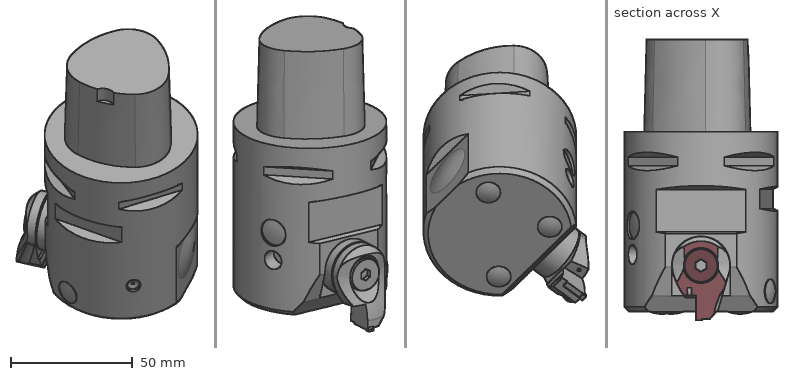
import cadquery as cq
import math


shank_length = 38.0
shank_lobe_reach = 23.4
shank_flank_reach = 20.4
lobe_center_offset = 8.6
shank_taper_angle = math.degrees(math.atan(1 / 40))
key_slot_diameter = 10.0
key_slot_depth = 6.3
key_slot_floor_reach = 17.8

body_diameter = 63.0
body_radius = body_diameter / 2
body_length = 74.0
bottom_chamfer = 2.0
beyond = 20.0

gripper_center_z = -12.2
gripper_floor_height = 3.5
gripper_floor_distance = 28.0
gripper_flare_angle = 30.0

window_top_z = -23.6
window_bottom_z = -31.6
window_floor_distance = 27.3
window_direction = -100.0
notch_flare_angle = 15.0

relief_top_z = -23.8
relief_bottom_z = -41.2
relief_floor_x = -25.5
face_x = -27.9
ramp_points = [(face_x, -55.5), (-24.2, -67.4), (-20.0, -body_length)]

dial_flat_x = 28.6
dial_flat_top_z = -42.5
dial_radius = 10.9
dial_height = 1.55

pivot_z = -55.0
slide_diameter = 24.0
slide_face_x = -32.6
slide_seat_x = -24.2

plug_diameter = 10.0
plug_height = 1.0
bottom_plug_circle_radius = 20.8
bottom_plug_angles = [36.0, 129.5, 230.5]
side_plug_angle = -115.0
side_plug_z = -65.6
side_plug_height = 0.7
clamp_hole_angle = 116.0
clamp_recess_z = -38.5
clamp_recess_diameter = 11.5
clamp_recess_depth = 1.4
clamp_recess_dome_height = 0.6
clamp_hole_z = -50.5
clamp_hole_diameter = 8.0
clamp_hole_depth = 8.0
coolant_angle = -61.3
coolant_z = pivot_z
coolant_mouth_diameter = 6.25
coolant_bore_diameter = 5.01
coolant_bore_depth = 0.9
coolant_cone_depth = 1.5
coolant_jet_diameter = 1.0
coolant_jet_depth = 4.0

head_diameter = 23.84
head_radius = head_diameter / 2
head_back_x = -33.3
head_crest_x = -40.2
blade_crest_x = -44.4
crest_bend_top_z = pivot_z
crest_bend_bottom_z = -73.3
front_curve_radius = 21.5
head_bevel_x = -37.2
blade_left_y = 2.1
blade_bottom_z = -77.0
right_flank_angle = 16.5
left_flank_middle = (8.6, -65.0)
left_flank_end_y = 6.3
blade_chamfer_top_z = -73.2
blade_chamfer_bottom_y = -3.6
shoulder_front_z = -66.3
shoulder_back_z = -68.2
blade_back_points = [(head_back_x, -68.5), (-32.6, -69.3), (-32.6, -74.0), (-32.2, -74.0)]
shoulder_hole_diameter = 1.5
shoulder_hole_depth = 3.0
shoulder_hole_position = (-39.0, 4.7, -67.2)
edge_tip_x = -45.22
edge_tip_z = -78.0
edge_right_y = -0.5
nose_length = 1.8
lip_height = 0.6
lip_back_x = -34.8
lip_embed = 0.8
chip_groove_overrun = 1.3
chip_groove_diameter = 4.7
chip_groove_top = (-35.5, -60.3)
chip_groove_top_clearance = 1.7
chip_groove_bottom = (-40.8, -6.9, -76.5)

screw_diameter = 13.6
screw_hole_diameter = 14.2
screw_face_x = -40.0
screw_hole_throat_x = -38.9
screw_seat_x = -36.0
screw_hex_diameter = 5.0
screw_hex_depth = 2.0
countersink_reach = 8.0


def polar(radius, degrees):
    return (radius * math.cos(math.radians(degrees)), radius * math.sin(math.radians(degrees)))


def radial_plane(degrees, z, distance):
    """Plane with its normal pointing out of the body and its local X along the circumference."""
    x, y = polar(distance, degrees)
    side = (*polar(1, degrees + 90), 0)
    return cq.Plane(origin=(x, y, z), xDir=side, normal=(*polar(1, degrees), 0))


def side_prism(points, half_width):
    """Prism along Y, centered on the XZ plane, from an outline of (x, z) points."""
    return cq.Workplane("XZ").polyline(points).close().extrude(half_width, both=True)


def spherical_cap(plane, rim_radius, height, root=1.0):
    """Domed plug on a short cylindrical root that sinks into the body."""
    sphere_radius = (rim_radius ** 2 + height ** 2) / (2 * height)
    half_angle = math.asin(rim_radius / sphere_radius) / 2
    middle = (sphere_radius * math.sin(half_angle), height - sphere_radius * (1 - math.cos(half_angle)))
    profile = (
        cq.Workplane("XY")
        .moveTo(0, -root)
        .lineTo(rim_radius, -root)
        .lineTo(rim_radius, 0)
        .threePointArc(middle, (0, height))
        .close()
    )
    cap = profile.revolve(360, (0, 0, 0), (0, 1, 0)).rotate((0, 0, 0), (1, 0, 0), 90)
    return cq.Workplane(obj=cap.val().located(cq.Location(plane)))


def flared_notch(direction, top_z, bottom_z, floor_distance, flare_angle):
    """Cutter with a flat floor facing out and end walls that open towards the outside."""
    flare = beyond * math.tan(math.radians(flare_angle))
    outer = floor_distance + beyond
    points = [
        (floor_distance, bottom_z),
        (floor_distance, top_z),
        (outer, top_z + flare),
        (outer, bottom_z - flare),
    ]
    return side_prism(points, body_diameter).rotate((0, 0, 0), (0, 0, 1), direction)


def make_shank():
    bulge = shank_lobe_reach - shank_flank_reach
    tangency = 2 * bulge * lobe_center_offset - bulge ** 2
    flank_center_offset = tangency / (lobe_center_offset - 2 * bulge)
    flank_radius = shank_flank_reach + flank_center_offset
    lobe_x, lobe_y = polar(lobe_center_offset, -30)
    joint_tilt = math.degrees(math.atan2(lobe_x, flank_center_offset - lobe_y))
    joint_x = flank_radius * math.sin(math.radians(joint_tilt))
    joint_y = flank_center_offset - flank_radius * math.cos(math.radians(joint_tilt))
    joint_radius = math.hypot(joint_x, joint_y)
    half_flank = math.degrees(math.atan2(joint_x, -joint_y))

    outline = cq.Workplane("XY").moveTo(-joint_x, joint_y)
    for flank in (-90, 30, 150):
        flank_end = polar(joint_radius, flank + half_flank)
        outline = outline.threePointArc(polar(shank_flank_reach, flank), flank_end)
        lobe_end = polar(joint_radius, flank + 120 - half_flank)
        outline = outline.threePointArc(polar(shank_lobe_reach, flank + 60), lobe_end)
    shank = outline.close().extrude(shank_length, taper=shank_taper_angle)
    key_slot = (
        cq.Workplane("XY", origin=(0, -key_slot_floor_reach - key_slot_diameter / 2, shank_length))
        .circle(key_slot_diameter / 2)
        .extrude(-key_slot_depth)
    )
    return shank.cut(key_slot)


def make_body():
    body = cq.Workplane("XY").circle(body_radius).extrude(-body_length)
    return body.faces("<Z").chamfer(bottom_chamfer)


def cut_gripper_grooves(body):
    half_floor = gripper_floor_height / 2
    for direction in (45, 135, 225, 315):
        body = body.cut(
            flared_notch(
                direction,
                gripper_center_z + half_floor,
                gripper_center_z - half_floor,
                gripper_floor_distance,
                gripper_flare_angle,
            )
        )
    return body


def cut_head_side(body):
    """Relief, mounting face, ramps and seat for the slide boss, all on the -X side."""
    relief = flared_notch(180, relief_top_z, relief_bottom_z, -relief_floor_x, notch_flare_angle)
    outer_x = -body_radius - beyond
    face_and_ramps = [
        (face_x, relief_bottom_z),
        *ramp_points,
        (outer_x, -body_length),
        (outer_x, relief_bottom_z),
    ]
    seat_height = pivot_z + body_length
    seat = (
        cq.Workplane("YZ", origin=(slide_seat_x, 0, pivot_z))
        .move(0, -seat_height / 2)
        .rect(slide_diameter, seat_height)
        .extrude(-beyond)
    )
    slide = (
        cq.Workplane("YZ", origin=(slide_face_x, 0, pivot_z))
        .circle(slide_diameter / 2)
        .extrude(slide_seat_x - slide_face_x)
    )
    return body.cut(relief).cut(side_prism(face_and_ramps, body_diameter)).cut(seat).union(slide)


def cut_dial_side(body):
    outer_x = dial_flat_x + beyond
    flat = [
        (dial_flat_x, -body_length),
        (dial_flat_x, dial_flat_top_z),
        (outer_x, dial_flat_top_z + beyond),
        (outer_x, -body_length),
    ]
    dial = spherical_cap(radial_plane(0, pivot_z, dial_flat_x), dial_radius, dial_height)
    return body.cut(side_prism(flat, body_diameter)).union(dial)


def add_plugs(body):
    for degrees in bottom_plug_angles:
        x, y = polar(bottom_plug_circle_radius, degrees)
        plane = cq.Plane(origin=(x, y, -body_length), xDir=(1, 0, 0), normal=(0, 0, -1))
        body = body.union(spherical_cap(plane, plug_diameter / 2, plug_height))
    side_plane = radial_plane(side_plug_angle, side_plug_z, body_radius)
    return body.union(spherical_cap(side_plane, plug_diameter / 2, side_plug_height))


def cut_radial_holes(body):
    recess_plane = radial_plane(clamp_hole_angle, clamp_recess_z, body_radius - clamp_recess_depth)
    recess = cq.Workplane(recess_plane).circle(clamp_recess_diameter / 2).extrude(beyond)
    hole_plane = radial_plane(clamp_hole_angle, clamp_hole_z, body_radius - clamp_hole_depth)
    hole = cq.Workplane(hole_plane).circle(clamp_hole_diameter / 2).extrude(beyond)
    dome = spherical_cap(recess_plane, clamp_recess_diameter / 2, clamp_recess_dome_height)
    return body.cut(recess).cut(hole).union(dome)


def cut_coolant_outlet(body):
    bore_radius = coolant_bore_diameter / 2
    mouth_radius = coolant_mouth_diameter / 2
    jet_radius = coolant_jet_diameter / 2
    mouth_depth = mouth_radius - bore_radius
    profile = [
        (0, -coolant_jet_depth),
        (jet_radius, -coolant_jet_depth),
        (jet_radius, -coolant_cone_depth),
        (bore_radius, -coolant_bore_depth),
        (bore_radius, -mouth_depth),
        (mouth_radius, 0),
        (0, 0),
    ]
    outlet = cq.Workplane("XZ").polyline(profile).close().revolve(360, (0, 0, 0), (0, 1, 0))
    plane = radial_plane(coolant_angle, coolant_z, body_radius)
    return body.cut(cq.Workplane(obj=outlet.val().located(cq.Location(plane))))


def make_housing():
    body = cut_gripper_grooves(make_body())
    body = body.cut(
        flared_notch(
            window_direction,
            window_top_z,
            window_bottom_z,
            window_floor_distance,
            notch_flare_angle,
        )
    )
    body = cut_head_side(body)
    body = cut_dial_side(body)
    body = add_plugs(body)
    body = cut_radial_holes(body)
    body = cut_coolant_outlet(body)
    return body.union(make_shank())


def right_flank_reach(z):
    """Distance from Y = 0, at height z, of the flat flank tangent to the round head."""
    angle = math.radians(right_flank_angle)
    return (head_radius - (pivot_z - z) * math.sin(angle)) / math.cos(angle)


def crest_x(z):
    """Front surface along Y = 0: an S-curve that carries the head forward into the blade."""
    step = (crest_bend_top_z - z) / (crest_bend_top_z - crest_bend_bottom_z)
    step = min(max(step, 0), 1)
    return head_crest_x + (blade_crest_x - head_crest_x) * step ** 2 * (3 - 2 * step)


def front_envelope():
    """Solid behind the convex front surface: equal circles carried along the S-curve."""
    sections = 15
    top_z = pivot_z + head_radius + 1

    def section(z):
        center = cq.Vector(crest_x(z) + front_curve_radius, 0, z)
        return cq.Wire.makeCircle(front_curve_radius, center, cq.Vector(0, 0, 1))

    step_z = (crest_bend_bottom_z - top_z) / (sections - 1)
    curved = cq.Solid.makeLoft([section(top_z + i * step_z) for i in range(sections)])
    straight = (
        cq.Workplane("XY", origin=(blade_crest_x + front_curve_radius, 0, crest_bend_bottom_z))
        .circle(front_curve_radius)
        .extrude(blade_bottom_z - crest_bend_bottom_z)
    )
    return straight.union(cq.Workplane(obj=curved))


def head_outline_prism():
    """Round head that narrows to the blade: a flat right flank and a curved left one."""
    depth = 16.0
    start_x = blade_back_points[-1][0]
    right_tangent = polar(head_radius, 180 + right_flank_angle)
    points = [
        (right_tangent[0], pivot_z + right_tangent[1]),
        (-right_flank_reach(blade_chamfer_top_z), blade_chamfer_top_z),
        (blade_chamfer_bottom_y, blade_bottom_z),
        (blade_left_y, blade_bottom_z),
        (blade_left_y, shoulder_back_z),
        (left_flank_end_y, shoulder_back_z),
    ]
    outline = cq.Workplane("YZ", origin=(start_x, 0, 0)).polyline(points)
    outline = outline.threePointArc(left_flank_middle, (head_radius, pivot_z))
    outline = outline.threePointArc((0, pivot_z + head_radius), points[0])
    return outline.close().extrude(-depth)


def head_bevel():
    """Cutter for the sloping bevel over the top of the head."""
    reach = 10.0
    disc = cq.Face.makeFromWires(
        cq.Wire.makeCircle(head_radius, cq.Vector(head_bevel_x, 0, pivot_z), cq.Vector(1, 0, 0))
    )
    kept = cq.Solid.extrudeLinear(disc, cq.Vector(-reach, 0, -reach))
    block = cq.Workplane("XY").box(reach, head_diameter, head_diameter, centered=(False, True, False))
    return block.translate((head_bevel_x - reach, 0, pivot_z)).cut(cq.Workplane(obj=kept))


def chip_groove():
    """Round groove down the right flank, running deeper towards the blade tip."""
    top_x, top_z = chip_groove_top
    top_offset = chip_groove_top_clearance / math.cos(math.radians(right_flank_angle))
    top = cq.Vector(top_x, -right_flank_reach(top_z) - top_offset, top_z)
    run = (cq.Vector(*chip_groove_bottom) - top) * chip_groove_overrun
    return cq.Workplane(obj=cq.Solid.makeCylinder(chip_groove_diameter / 2, run.Length, top, run))


def cutting_edge():
    """Thin lip under the blade that ends in the nose."""
    lip_z = blade_bottom_z - lip_height
    inside_x = blade_crest_x + 2
    points = [
        (blade_crest_x + 0.2, blade_bottom_z + lip_embed),
        (edge_tip_x, blade_bottom_z),
        (edge_tip_x, edge_tip_z),
        (edge_tip_x + nose_length, edge_tip_z),
        (edge_tip_x + nose_length, lip_z),
        (lip_back_x, lip_z),
        (lip_back_x, blade_bottom_z),
        (inside_x, blade_bottom_z + lip_embed),
    ]
    lip = cq.Workplane("XZ", origin=(0, blade_left_y, 0)).polyline(points).close()
    return lip.extrude(blade_left_y - edge_right_y)


def screw_hole():
    hole_radius = screw_hole_diameter / 2
    points = [
        (screw_seat_x, 0),
        (screw_seat_x, hole_radius),
        (screw_hole_throat_x, hole_radius),
        (screw_hole_throat_x - countersink_reach, hole_radius + countersink_reach),
        (screw_hole_throat_x - countersink_reach, 0),
    ]
    profile = cq.Workplane("XZ").polyline(points).close()
    return profile.revolve(360, (0, 0, 0), (1, 0, 0)).translate((0, 0, pivot_z))


def make_head():
    front_limit_x = blade_crest_x - 1
    back_profile = [
        (front_limit_x, pivot_z + head_radius + 1),
        (head_back_x, pivot_z + head_radius + 1),
        *blade_back_points,
        (blade_back_points[-1][0], blade_bottom_z),
        (front_limit_x, blade_bottom_z),
    ]
    head = head_outline_prism().intersect(side_prism(back_profile, head_diameter))
    head = head.intersect(front_envelope())
    shoulder = [
        (front_limit_x, shoulder_front_z),
        (blade_crest_x, shoulder_front_z),
        (head_back_x, shoulder_back_z),
        (front_limit_x, shoulder_back_z - 1),
    ]
    shoulder_cut = cq.Workplane("XZ", origin=(0, blade_left_y, 0)).polyline(shoulder).close()
    shoulder_cut = shoulder_cut.extrude(-head_diameter)
    head = head.cut(head_bevel()).cut(shoulder_cut).cut(chip_groove()).cut(screw_hole())
    shoulder_hole = (
        cq.Workplane("XY", origin=shoulder_hole_position)
        .circle(shoulder_hole_diameter / 2)
        .extrude(shoulder_hole_depth)
    )
    return head.cut(shoulder_hole).union(cutting_edge())


def make_screw():
    screw = (
        cq.Workplane("YZ", origin=(screw_seat_x, 0, pivot_z))
        .circle(screw_diameter / 2)
        .extrude(screw_face_x - screw_seat_x)
    )
    socket = (
        cq.Workplane("YZ", origin=(screw_face_x, 0, pivot_z))
        .transformed(rotate=(0, 0, 90))
        .polygon(6, screw_hex_diameter)
        .extrude(screw_hex_depth)
    )
    return screw.cut(socket)


housing = make_housing()
head = make_head()
screw = make_screw()

result = cq.Compound.makeCompound([housing.val(), head.val(), screw.val()])